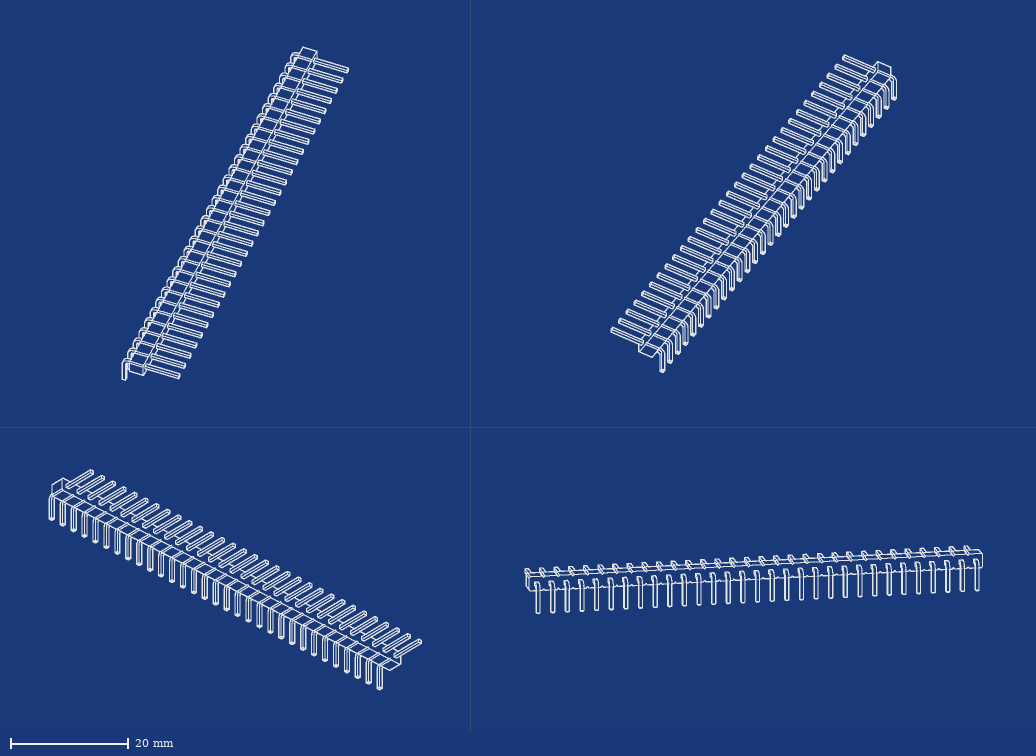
import cadquery as cq


pin_count = 31
row_length = 78.75
pitch = row_length / pin_count

strip_width = pitch
strip_height = pitch
strip_chamfer = 0.2

pin_thickness = 0.6
bend_inner_radius = 0.5
tip_chamfer = 0.15
tail_reach = 3.0
overall_width = 10.4
overall_height = 6.15

pin_left = -tail_reach
pin_right = pin_left + overall_width
pin_top = pin_thickness / 2
pin_bottom = strip_height / 2 - overall_height
bend_outer_radius = bend_inner_radius + pin_thickness


def insulator_strip():
    """Strip of one cell per pin, each cell's four edges along X chamfered."""
    side_z = strip_height / 2 - strip_chamfer
    upper_edge = [(-row_length / 2, side_z)]
    for index in range(pin_count):
        cell_start = index * pitch - row_length / 2
        cell_end = cell_start + pitch
        upper_edge.append((cell_start + strip_chamfer, strip_height / 2))
        upper_edge.append((cell_end - strip_chamfer, strip_height / 2))
        upper_edge.append((cell_end, side_z))
    lower_edge = [(y, -z) for y, z in reversed(upper_edge)]
    outline = cq.Workplane("YZ").polyline(upper_edge + lower_edge).close()
    return outline.extrude(strip_width / 2, both=True)


def bent_pin(y):
    """Square pin running along X through the strip, its tail bent down at -X with a chamfered tip."""
    tail_right = pin_left + pin_thickness
    bend_x = pin_left + bend_outer_radius
    bend_z = pin_top - bend_outer_radius
    return (
        cq.Workplane("XZ")
        .moveTo(pin_left, pin_bottom)
        .lineTo(pin_left, bend_z)
        .radiusArc((bend_x, pin_top), bend_outer_radius)
        .lineTo(pin_right, pin_top)
        .lineTo(pin_right, -pin_top)
        .lineTo(bend_x, -pin_top)
        .radiusArc((tail_right, bend_z), -bend_inner_radius)
        .lineTo(tail_right, pin_bottom)
        .close()
        .extrude(pin_thickness / 2, both=True)
        .faces("<Z")
        .chamfer(tip_chamfer)
        .translate((0, y, 0))
    )


pins = []
for index in range(pin_count):
    pin_y = (index - (pin_count - 1) / 2) * pitch
    pins.append(bent_pin(pin_y).val())

result = cq.Workplane(insulator_strip().val().fuse(*pins))